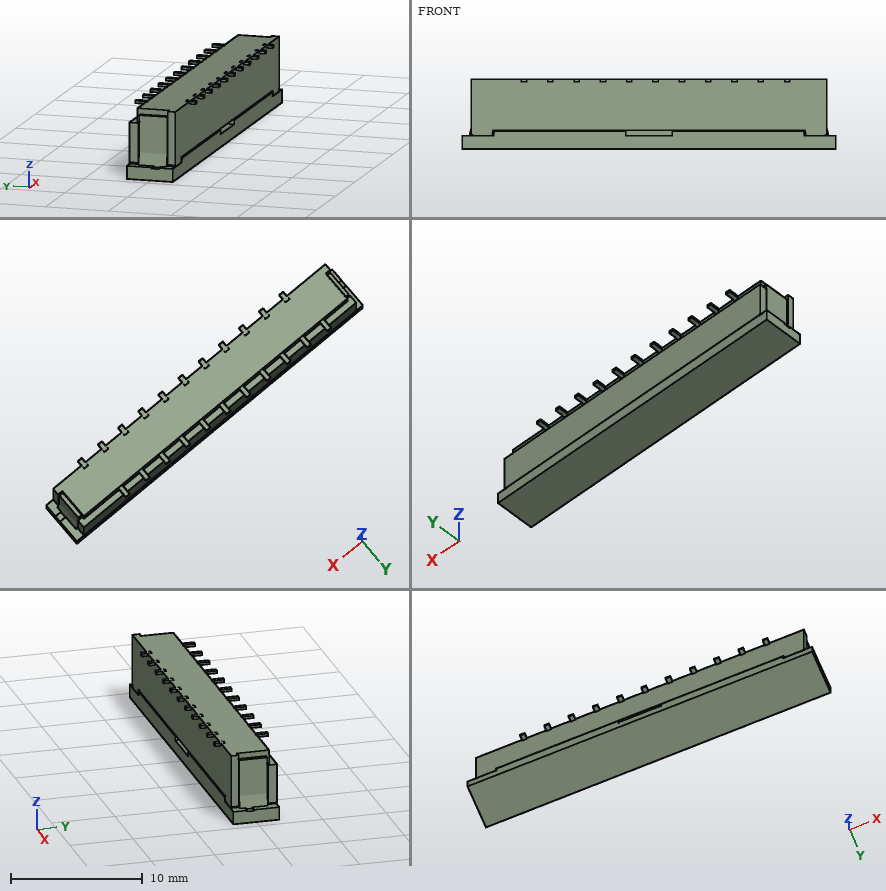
import cadquery as cq

base_length = 28.4
base_width = 3.64
base_height = 1.02
base_front = -base_width / 2
groove_front_offset = 1.1
groove_width = 0.55
groove_depth = 0.09
groove_floor = base_height - groove_depth

total_height = 5.3
housing_length = 27.05
housing_width = base_width
housing_setback = 0.015
housing_front = base_front + housing_setback
housing_back = housing_front + housing_width
ledge_depth = 0.5
ledge_height = 4.25
end_chamfer = 0.15

rebate_half_length = 11.93
rebate_height = 0.43
rebate_depth = 0.85
rebate_end_slope = 0.09
tongue_gap = 0.1
window_half_width = 1.75

recess_depth = 0.43
recess_front_offset = 0.6
recess_width = 2.35
block_side_gap = 0.07
block_top = 4.85
block_flare_top = 1.95
block_inset = 0.09
block_flare = 0.23

lead_count = 11
lead_row_length = 20.0
lead_pitch = lead_row_length / (lead_count - 1)
lead_width = 0.4
lead_thickness = 0.2
lead_overhang = 0.43
lead_flat_length = 0.65
lead_bend_radius = 0.6
lead_bend_angle = 45
row_offset = lead_pitch / 4
notch_depth = 0.35


def box(x_min, x_max, y_min, y_max, z_min, z_max):
    """Block given by its limits along each axis."""
    size = (x_max - x_min, y_max - y_min, z_max - z_min)
    return cq.Workplane("XY").box(*size, centered=False).translate((x_min, y_min, z_min))


def both_ends(left_part):
    """The given left-end shape together with its mirror image at the right end."""
    return left_part.union(left_part.mirror("YZ"))


def trapezoid(half_length, height, front):
    """Long bar on top of the base with sloping ends, running back from its front face."""
    return (
        cq.Workplane("XZ", origin=(0, front, base_height))
        .moveTo(-half_length, 0)
        .lineTo(-half_length + rebate_end_slope, height)
        .lineTo(half_length - rebate_end_slope, height)
        .lineTo(half_length, 0)
        .close()
        .extrude(-rebate_depth)
    )


def make_base():
    base = box(-base_length / 2, base_length / 2, base_front, -base_front, 0, base_height)
    groove_front = base_front + groove_front_offset
    groove = box(
        -base_length / 2, -housing_length / 2 + block_inset,
        groove_front, groove_front + groove_width,
        groove_floor, base_height,
    )
    return base.cut(both_ends(groove))


def make_tongue():
    tongue = trapezoid(rebate_half_length - tongue_gap, rebate_height - tongue_gap, base_front)
    window = box(
        -window_half_width, window_half_width,
        base_front, base_front + rebate_depth,
        base_height, base_height + rebate_height,
    )
    return tongue.cut(window)


def make_housing():
    end = -housing_length / 2
    recess_wall = end + recess_depth
    recess_front = base_front + recess_front_offset
    housing = box(end, -end, housing_front, housing_back, base_height, total_height)

    ledge = box(end, -end, housing_back - ledge_depth, housing_back, ledge_height, total_height)
    end_recess = box(
        end, recess_wall, recess_front, recess_front + recess_width, base_height, total_height
    )
    ledge_end = box(end, recess_wall, recess_front, housing_back, ledge_height, total_height)
    chamfer_cut = (
        cq.Workplane("XZ", origin=(end, housing_front, base_height))
        .lineTo(end_chamfer, 0)
        .lineTo(0, end_chamfer)
        .close()
        .extrude(-housing_width)
    )
    end_cuts = end_recess.union(ledge_end).union(chamfer_cut)
    rebate = trapezoid(rebate_half_length, rebate_height, housing_front)
    return housing.cut(ledge).cut(both_ends(end_cuts)).cut(rebate)


def make_end_blocks():
    outer_face = -housing_length / 2 + block_inset
    recess_wall = -housing_length / 2 + recess_depth
    front = base_front + recess_front_offset + block_side_gap
    block = (
        cq.Workplane("XZ", origin=(0, front, 0))
        .moveTo(recess_wall, groove_floor)
        .lineTo(outer_face - block_flare, groove_floor)
        .lineTo(outer_face, block_flare_top)
        .lineTo(outer_face, block_top)
        .lineTo(recess_wall, block_top)
        .close()
        .extrude(-(recess_width - 2 * block_side_gap))
    )
    return both_ends(block)


def make_front_lead():
    """Front lead centred on X = 0: flat outside, curving down into the housing."""
    tip = base_front - lead_overhang
    bend_start = tip + lead_flat_length
    flat = box(
        -lead_width / 2, lead_width / 2, tip, bend_start, total_height - lead_thickness, total_height
    )
    bend_axis_height = lead_thickness / 2 - lead_bend_radius
    bend = (
        cq.Workplane("XZ", origin=(0, bend_start, total_height - lead_thickness / 2))
        .rect(lead_width, lead_thickness)
        .revolve(lead_bend_angle, (0.28, bend_axis_height), (-0.28, bend_axis_height))
    )
    return flat.union(bend)


def lead_positions(row_centre):
    first = row_centre - lead_row_length / 2
    return [first + i * lead_pitch for i in range(lead_count)]


front_lead = make_front_lead()
back_lead = front_lead.mirror("XZ")
front_notch = box(
    -lead_width / 2, lead_width / 2,
    housing_front, base_front + notch_depth,
    total_height - lead_thickness, total_height,
)

result = make_base().union(make_tongue()).union(make_housing()).union(make_end_blocks())
for x in lead_positions(row_offset):
    result = result.cut(front_notch.translate((x, 0, 0)))
    result = result.union(front_lead.translate((x, 0, 0)))
for x in lead_positions(-row_offset):
    result = result.union(back_lead.translate((x, 0, 0)))